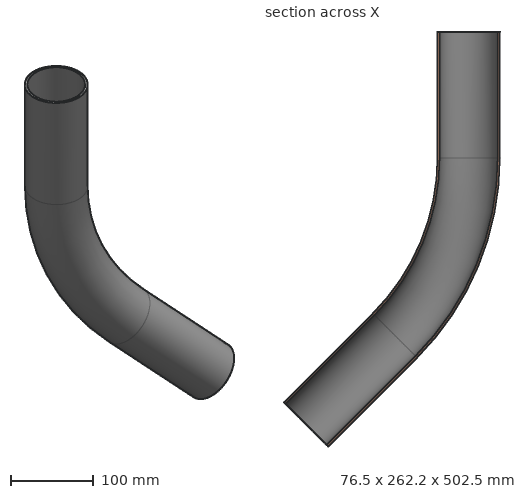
import cadquery as cq
import math

overall_height = 502.5
outer_diameter = 76.5
inner_diameter = 70.0
leg_length = 152.5
bend_angle = 45.0

outer_radius = outer_diameter / 2
sin_bend = math.sin(math.radians(bend_angle))
cos_bend = math.cos(math.radians(bend_angle))

sloping_height = leg_length * cos_bend + outer_radius * sin_bend
bend_radius = (overall_height - leg_length - sloping_height) / sin_bend


def arc_point(angle):
    """Return the (Y, Z) centreline point after bending through the angle in degrees."""
    turn = math.radians(angle)
    return (
        bend_radius * (1 - math.cos(turn)),
        -leg_length - bend_radius * math.sin(turn),
    )


bend_end = arc_point(bend_angle)
lower_end = (
    bend_end[0] + leg_length * sin_bend,
    bend_end[1] - leg_length * cos_bend,
)
centreline = (
    cq.Workplane("YZ")
    .moveTo(0, 0)
    .lineTo(0, -leg_length)
    .threePointArc(arc_point(bend_angle / 2), bend_end)
    .lineTo(*lower_end)
)

result = (
    cq.Workplane("XY")
    .circle(outer_radius)
    .circle(inner_diameter / 2)
    .sweep(centreline)
)